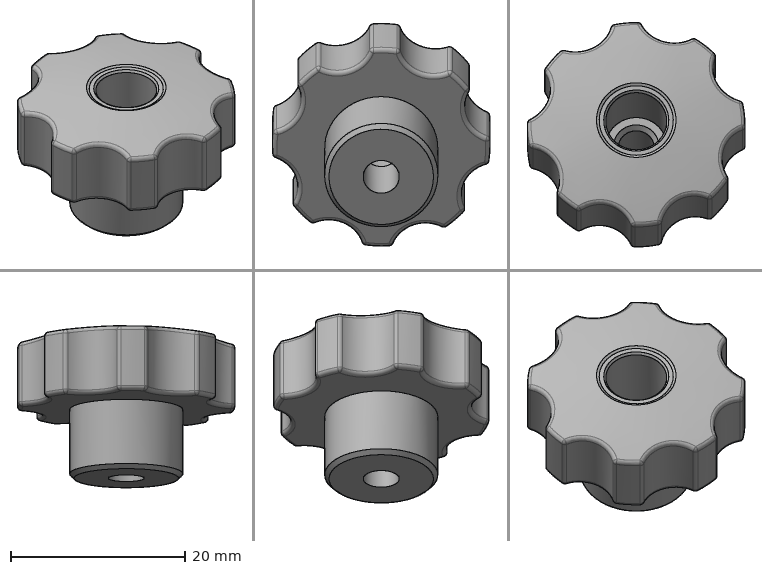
import cadquery as cq
import math

HUB_DIAMETER = 13.0
HUB_HEIGHT = 8.0
HUB_CHAMFER = 0.5

TOTAL_HEIGHT = 16.65
GRIP_DIAMETER = 25.0
DOME_RADIUS = 57.67
SCALLOP_COUNT = 8
SCALLOP_RADIUS = 4.0
SCALLOP_CENTRE_RADIUS = 14.5
EDGE_ROUND = 0.5

RIM_DIAMETER = 9.13
RIM_FLOOR_DIAMETER = 8.5
RIM_DEPTH = 0.15
BORE_DIAMETER = 7.0
BORE_CHAMFER = 0.25
BORE_FLOOR_HEIGHT = HUB_HEIGHT
HOLE_DIAMETER = 4.13
COUNTERSINK_DIAMETER = 5.2
CUT_CLEARANCE = 0.48


def make_grip():
    """Domed disc with scallops cut around it and all outer edges rounded."""
    dome_centre_height = TOTAL_HEIGHT - math.sqrt(DOME_RADIUS**2 - (RIM_DIAMETER / 2) ** 2)
    disc = cq.Workplane("XY").workplane(offset=HUB_HEIGHT).circle(GRIP_DIAMETER / 2).extrude(TOTAL_HEIGHT)
    scallops = (
        cq.Workplane("XY")
        .workplane(offset=HUB_HEIGHT)
        .polarArray(SCALLOP_CENTRE_RADIUS, 0, 360, SCALLOP_COUNT)
        .circle(SCALLOP_RADIUS)
        .extrude(TOTAL_HEIGHT)
    )
    dome = cq.Workplane("XY").sphere(DOME_RADIUS, direct=(1, 0, 0)).translate((0, 0, dome_centre_height))
    grip = disc.cut(scallops).intersect(dome)
    return grip.edges().fillet(EDGE_ROUND)


def make_hub():
    """Cylinder under the grip, chamfered at its lower end."""
    hub = cq.Workplane("XY").circle(HUB_DIAMETER / 2).extrude(HUB_HEIGHT)
    return hub.faces("<Z").chamfer(HUB_CHAMFER)


def make_bore():
    """Stepped opening: sloped rim, chamfered bore, then a countersunk through hole."""
    rim_floor = TOTAL_HEIGHT - RIM_DEPTH
    bore_radius = BORE_DIAMETER / 2
    hole_radius = HOLE_DIAMETER / 2
    countersink_radius = COUNTERSINK_DIAMETER / 2
    countersink_depth = countersink_radius - hole_radius
    cutter_top = TOTAL_HEIGHT + CUT_CLEARANCE
    profile = [
        (0, 0),
        (hole_radius, 0),
        (hole_radius, BORE_FLOOR_HEIGHT - countersink_depth),
        (countersink_radius, BORE_FLOOR_HEIGHT),
        (bore_radius, BORE_FLOOR_HEIGHT),
        (bore_radius, rim_floor - BORE_CHAMFER),
        (bore_radius + BORE_CHAMFER, rim_floor),
        (RIM_FLOOR_DIAMETER / 2, rim_floor),
        (RIM_DIAMETER / 2, TOTAL_HEIGHT),
        (RIM_DIAMETER / 2, cutter_top),
        (0, cutter_top),
    ]
    return cq.Workplane("XZ").polyline(profile).close().revolve(360, (0, 0), (0, 1))


result = make_grip().union(make_hub()).cut(make_bore())